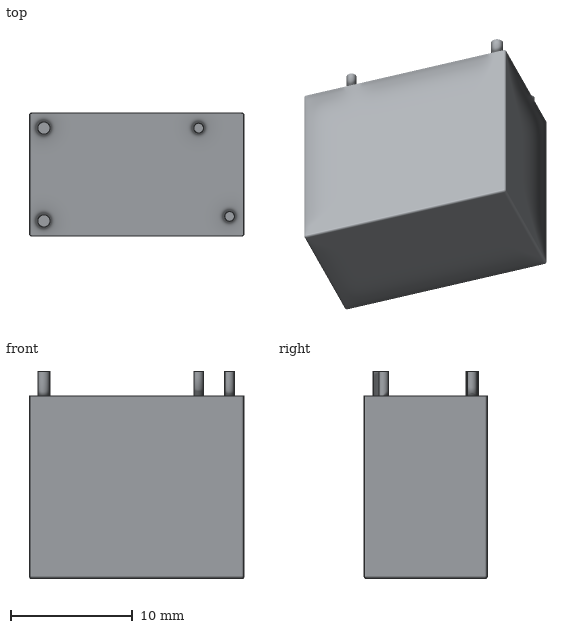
import cadquery as cq

length = 17.6
width = 10.1
height = 15.0
edge_radius = 0.2

pin_length = 2.0
thick_pin_diameter = 1.0
thin_pin_diameter = 0.8

grid = 2.54
thick_pin_x = -3 * grid
rear_row_y = 1.5 * grid
rear_thin_pin_x = 2 * grid
front_thin_pin_x = 3 * grid
thin_pin_row_spacing = 7.25

thick_pin_places = [
    (thick_pin_x, rear_row_y),
    (thick_pin_x, -rear_row_y),
]
thin_pin_places = [
    (rear_thin_pin_x, rear_row_y),
    (front_thin_pin_x, rear_row_y - thin_pin_row_spacing),
]


def make_housing():
    box = cq.Workplane("XY").box(length, width, height, centered=(True, True, False))
    return box.edges("|Z or <Z").fillet(edge_radius)


def make_pins(places, diameter):
    top_face = cq.Workplane("XY").workplane(offset=height)
    return top_face.pushPoints(places).circle(diameter / 2).extrude(pin_length)


thick_pins = make_pins(thick_pin_places, thick_pin_diameter)
thin_pins = make_pins(thin_pin_places, thin_pin_diameter)
result = make_housing().union(thick_pins).union(thin_pins)